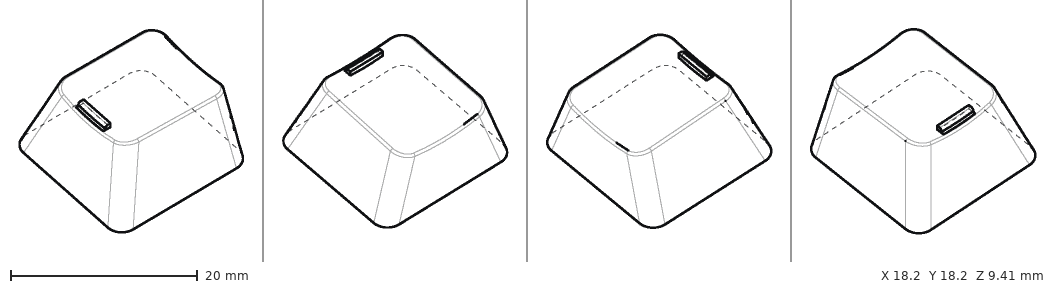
import cadquery as cq

BASE_SIDE = 18.15
CORNER_RADIUS = 1.92
BLANK_HEIGHT = 10.89
SIDE_SLOPE = 0.31
FRONT_SLOPE = 0.34
BACK_SLOPE = 0.055
RIM_FILLET = 0.29

DISH_RADIUS = 23.78
DISH_TILT = 1.8
DISH_FLOOR = 8.53
DISH_LENGTH = 3 * BASE_SIDE

BAR_LENGTH = 4.57
BAR_TOP = 9.38
BAR_BACK = -4.74
BAR_FLAT_WIDTH = 0.4
BAR_CREST_RADIUS = 0.33
BAR_FOOT_RADIUS = 0.29


def rounded_section(height):
    """Rounded rectangle of the skirt at the given height."""
    half_width = BASE_SIDE / 2 - SIDE_SLOPE * height
    front = -BASE_SIDE / 2 + FRONT_SLOPE * height
    back = BASE_SIDE / 2 - BACK_SLOPE * height
    return (
        cq.Sketch()
        .push([(0, (front + back) / 2)])
        .rect(2 * half_width, back - front)
        .reset()
        .vertices()
        .fillet(CORNER_RADIUS)
        .moved(cq.Location(cq.Vector(0, 0, height)))
    )


def tilt_with_dish(shape):
    """Lean a level shape by the dish tilt, about the lowest line of the dish at Y = 0."""
    return shape.rotate((0, 0, DISH_FLOOR), (1, 0, DISH_FLOOR), -DISH_TILT)


def make_dish():
    """Cylinder whose underside forms the dished top."""
    cylinder = (
        cq.Workplane("XZ", origin=(0, 0, DISH_FLOOR + DISH_RADIUS))
        .circle(DISH_RADIUS)
        .extrude(DISH_LENGTH / 2, both=True)
    )
    return tilt_with_dish(cylinder)


def make_keycap(dish):
    blank = (
        cq.Workplane("XY")
        .placeSketch(rounded_section(0), rounded_section(BLANK_HEIGHT))
        .loft(ruled=True)
    )
    dished = blank.cut(dish)
    return dished.faces(">Z").edges().fillet(RIM_FILLET)


def make_foot_cutter(centre_y):
    """Body of revolution about the dish axis whose rounded rear edge shapes the concave foot."""
    axis_z = DISH_FLOOR + DISH_RADIUS
    front_y = centre_y - BAR_FOOT_RADIUS
    rear_y = centre_y + BAR_FOOT_RADIUS
    cutter = (
        cq.Workplane("YZ")
        .moveTo(front_y, axis_z)
        .lineTo(front_y, DISH_FLOOR)
        .lineTo(centre_y, DISH_FLOOR)
        .radiusArc((rear_y, DISH_FLOOR + BAR_FOOT_RADIUS), -BAR_FOOT_RADIUS)
        .lineTo(rear_y, axis_z)
        .close()
        .revolve(360, (front_y, axis_z, 0), (rear_y, axis_z, 0))
    )
    return tilt_with_dish(cutter)


def make_homing_bar(dish):
    """Bar seated on the dish, with a rounded crest and a concave foot at the front."""
    bar_width = BAR_FLAT_WIDTH + BAR_CREST_RADIUS
    bar_front = BAR_BACK - bar_width
    block = cq.Workplane("XY").box(BAR_LENGTH, bar_width, BAR_TOP, centered=(True, False, False))
    crest = block.edges(">Z and <Y").fillet(BAR_CREST_RADIUS).translate((0, bar_front, 0))

    foot_centre_y = bar_front - BAR_FOOT_RADIUS
    foot_slab = (
        cq.Workplane("XY")
        .box(BAR_LENGTH, BAR_FOOT_RADIUS, BAR_TOP - BAR_CREST_RADIUS, centered=(True, False, False))
        .translate((0, foot_centre_y, 0))
    )
    foot = foot_slab.cut(make_foot_cutter(foot_centre_y))
    return crest.union(foot).intersect(dish)


dish = make_dish()
keycap = make_keycap(dish)
homing_bar = make_homing_bar(dish)

result = cq.Compound.makeCompound([*keycap.solids().vals(), *homing_bar.solids().vals()])